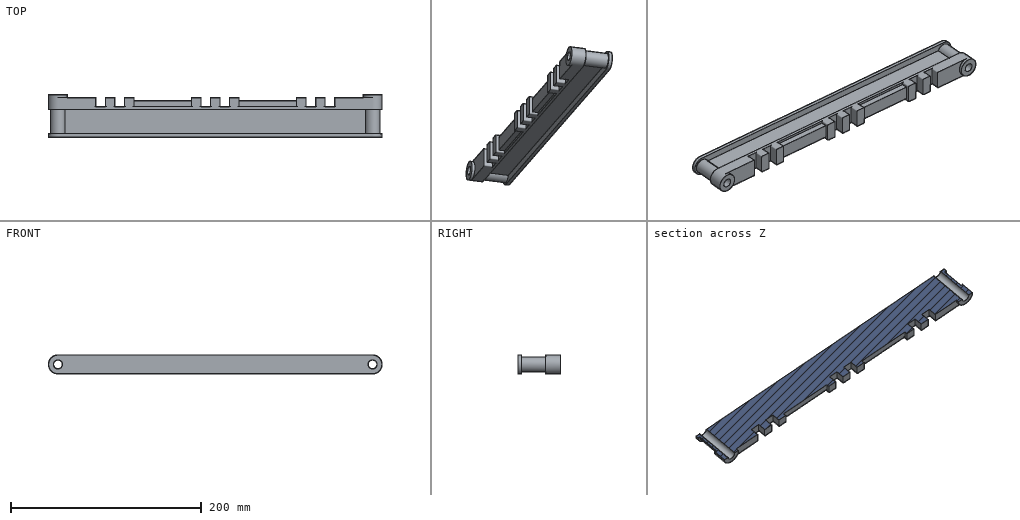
import cadquery as cq

length = 350.0
height = 20.0
end_radius = height / 2
pin_x = length / 2 - end_radius

front_plate_depth = 4.0
channel_depth = 25.2
rear_wall_depth = 3.0
tooth_depth = 9.5
rail_depth = 6.3
boss_overhang = 3.0

channel_y = front_plate_depth
rear_wall_y = channel_y + channel_depth
tooth_y = rear_wall_y + rear_wall_depth
boss_length = rear_wall_depth + tooth_depth + boss_overhang

tube_diameter = 15.8
pin_hole_diameter = 9.0
web_height = 6.0

tooth_width = 10.0
tooth_pitch = 20.0
tooth_edge_radius = 1.0
middle_tooth_centers = [-tooth_pitch, 0.0, tooth_pitch]
inner_tooth_x = 90.3
outer_tooth_x = inner_tooth_x + tooth_pitch
end_block_x = outer_tooth_x + tooth_pitch - tooth_width / 2

rail_height = 14.7
rail_start_x = tooth_pitch
rail_end_x = inner_tooth_x


def y_cylinder(x, start_y, depth, diameter):
    """Cylinder along +Y with its axis at height zero."""
    return cq.Workplane("XZ", origin=(x, start_y, 0)).circle(diameter / 2).extrude(-depth)


def bar_between(x_start, x_end, start_y, depth, bar_height):
    """Rectangular block centred on Z."""
    center = ((x_start + x_end) / 2, start_y + depth / 2, 0)
    return cq.Workplane("XY", origin=center).box(x_end - x_start, depth, bar_height)


def round_ended_plate(start_y, depth):
    """Full-length plate with semicircular ends."""
    return cq.Workplane("XZ", origin=(0, start_y, 0)).slot2D(length, height).extrude(-depth)


def tooth(center_x):
    """Tooth whose long edges beside the notches are rounded."""
    half_width = tooth_width / 2
    block = bar_between(center_x - half_width, center_x + half_width, tooth_y, tooth_depth, height)
    return block.edges("|Y").fillet(tooth_edge_radius)


def end_block(side):
    """Solid block from the last notch to the pin axis, rounded at the notch; side is -1 or 1."""
    x_start, x_end = sorted((side * end_block_x, side * pin_x))
    block = bar_between(x_start, x_end, tooth_y, tooth_depth, height)
    notch_face = ">X" if side < 0 else "<X"
    return block.faces(notch_face).edges("|Y").fillet(tooth_edge_radius)


result = round_ended_plate(0, front_plate_depth)
result = result.union(round_ended_plate(rear_wall_y, rear_wall_depth))
result = result.union(bar_between(-pin_x, pin_x, channel_y, channel_depth, web_height))

for center_x in middle_tooth_centers:
    result = result.union(tooth(center_x))

for side in (-1, 1):
    for center_x in (inner_tooth_x, outer_tooth_x):
        result = result.union(tooth(side * center_x))
    rail_x_start, rail_x_end = sorted((side * rail_start_x, side * rail_end_x))
    result = result.union(bar_between(rail_x_start, rail_x_end, tooth_y, rail_depth, rail_height))
    result = result.union(end_block(side))
    result = result.union(y_cylinder(side * pin_x, rear_wall_y, boss_length, height))
    result = result.union(y_cylinder(side * pin_x, channel_y, channel_depth, tube_diameter))

total_depth = rear_wall_y + boss_length
for side in (-1, 1):
    result = result.cut(y_cylinder(side * pin_x, 0, total_depth, pin_hole_diameter))